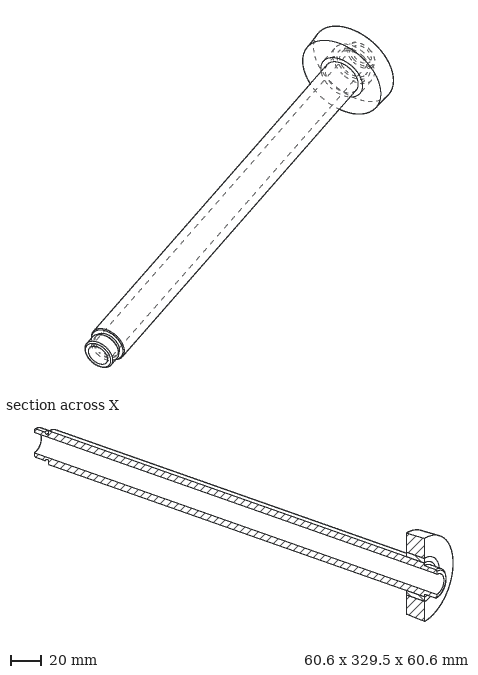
import cadquery as cq

total_length = 329.5
rear_stub_length = 10.2
front_stub_length = 11.5
stub_radius = 10.5
stub_chamfer = 1.0
tube_radius = 12.5
tube_chamfer = 0.5
bore_radius = 7.3

relief_radius = 9.2
relief_length = 3.0
relief_slope = stub_radius - relief_radius

flange_rear_radius = 30.3
flange_front_radius = 29.7
flange_thickness = 14.8
ring_radius = 15.8

rear_end = rear_stub_length
front_end = rear_end - total_length
shoulder = front_end + front_stub_length


def revolve_about_y(points):
    """Turn a closed (radius, Y) outline into a solid of revolution."""
    outline = [(y, radius) for radius, y in points]
    return cq.Workplane("YZ").polyline(outline).close().revolve(360, (0, 0), (1, 0))


def make_tube():
    """Hollow arm with a plain rear stub and a relieved front stub."""
    relief_end = shoulder - relief_length
    return revolve_about_y([
        (bore_radius, rear_end),
        (stub_radius - stub_chamfer, rear_end),
        (stub_radius, rear_end - stub_chamfer),
        (stub_radius, 0),
        (tube_radius, 0),
        (tube_radius, shoulder + tube_chamfer),
        (tube_radius - tube_chamfer, shoulder),
        (relief_radius, shoulder),
        (relief_radius, relief_end + relief_slope),
        (stub_radius, relief_end),
        (stub_radius, front_end + stub_chamfer),
        (stub_radius - stub_chamfer, front_end),
        (bore_radius, front_end),
    ])


def make_ring():
    """Plain ring that fills the gap between the tube and the flange."""
    return revolve_about_y([
        (tube_radius, 0),
        (ring_radius, 0),
        (ring_radius, -flange_thickness),
        (tube_radius, -flange_thickness),
    ])


def make_flange():
    """Slightly tapered wall disc, widest at the wall face."""
    return revolve_about_y([
        (ring_radius, 0),
        (flange_rear_radius, 0),
        (flange_front_radius, -flange_thickness),
        (ring_radius, -flange_thickness),
    ])


tube = make_tube()
ring = make_ring()
flange = make_flange()

result = cq.Compound.makeCompound([tube.val(), ring.val(), flange.val()])